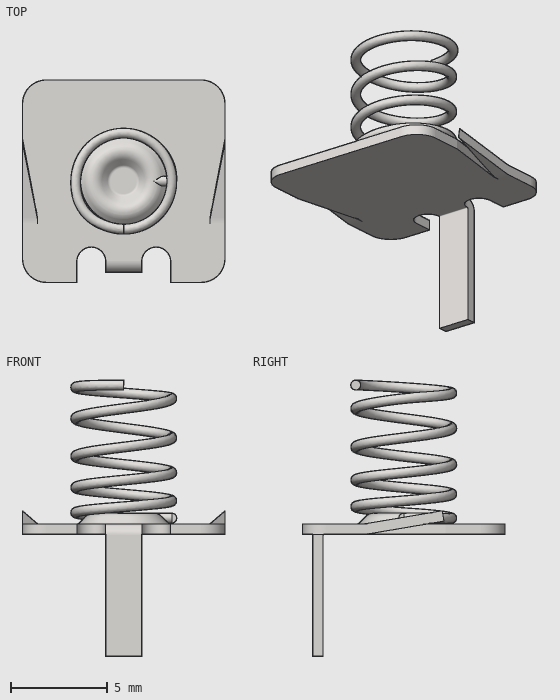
import cadquery as cq
import math

plate_side = 10.53
sheet = 0.55
corner_radius = 1.25
half_side = plate_side / 2

tab_width = 1.88
tab_front = -4.74
tab_bottom = -6.87
bend_inner_radius = 0.05
bend_outer_radius = bend_inner_radius + sheet
notch_width = 1.49
notch_end = -3.43

barb_bend_start = -2.2
barb_bend_radius = 1.58
barb_length = 3.99
barb_width = 0.77
barb_angle = 9.6
barb_slot_end = 2.18

crown_height = 0.56
crown_middle = 1.56
crown_radius = 0.6
recess_floor_radius = 0.67
root_fillet = 0.2

wire_radius = 0.26
coil_radius = 2.5
steps_per_half_turn = 4
half_turn_heights = [0.3, 0.59, 1.2, 1.9, 2.67, 3.52, 4.48, 5.48, 6.51, 7.09]
coil_end_height = 7.22
wire_foot_inner_end = 1.58


def base_plate():
    plate = cq.Workplane("XY").box(plate_side, plate_side, sheet, centered=(True, True, False))
    plate = plate.translate((0, 0, -sheet)).edges("|Z").fillet(corner_radius)
    notch_radius = notch_width / 2
    notch_straight_end = notch_end - notch_radius
    for side in (-1, 1):
        inner = side * tab_width / 2
        outer = inner + side * notch_width
        notch = (
            cq.Workplane("XY")
            .moveTo(inner, -plate_side)
            .lineTo(inner, notch_straight_end)
            .threePointArc(((inner + outer) / 2, notch_end), (outer, notch_straight_end))
            .lineTo(outer, -plate_side)
            .close()
            .extrude(-sheet)
        )
        plate = plate.cut(notch)
    bend_start = tab_front + bend_outer_radius
    strip = cq.Workplane("XY").box(tab_width, plate_side, sheet, centered=(True, False, False))
    return plate.cut(strip.translate((0, bend_start - plate_side, -sheet)))


def solder_tab():
    bend_start = tab_front + bend_outer_radius
    diagonal = math.sqrt(0.5)
    outer_middle = (bend_start - bend_outer_radius * diagonal, bend_outer_radius * (diagonal - 1))
    inner_middle = (
        bend_start - bend_inner_radius * diagonal,
        bend_inner_radius * diagonal - bend_outer_radius,
    )
    return (
        cq.Workplane("YZ")
        .moveTo(bend_start, 0)
        .threePointArc(outer_middle, (tab_front, -bend_outer_radius))
        .lineTo(tab_front, tab_bottom)
        .lineTo(tab_front + sheet, tab_bottom)
        .lineTo(tab_front + sheet, -bend_outer_radius)
        .threePointArc(inner_middle, (bend_start, -sheet))
        .close()
        .extrude(tab_width / 2, both=True)
    )


def barb_slot(side):
    edge = side * half_side
    inner = edge - side * barb_width
    bend_reach = (barb_bend_radius + sheet) * math.sin(math.radians(barb_angle))
    return (
        cq.Workplane("XY")
        .polyline([
            (edge, barb_bend_start),
            (inner, barb_bend_start),
            (inner, barb_bend_start + bend_reach),
            (edge, barb_slot_end),
        ])
        .close()
        .extrude(-sheet)
    )


def bent_barb(side):
    edge = side * half_side
    inner = edge - side * barb_width
    blade = (
        cq.Workplane("XY")
        .polyline([
            (edge, barb_bend_start),
            (inner, barb_bend_start),
            (edge, barb_bend_start + barb_length),
        ])
        .close()
        .extrude(-sheet)
    )
    axis_start = (0, barb_bend_start, barb_bend_radius)
    axis_end = (1, barb_bend_start, barb_bend_radius)
    blade = blade.rotate(axis_start, axis_end, barb_angle)
    bend = (
        cq.Workplane("YZ", origin=(min(edge, inner), 0, 0))
        .moveTo(barb_bend_start, -sheet)
        .lineTo(barb_bend_start, 0)
        .threePointArc(bend_point(barb_bend_radius, 0.5), bend_point(barb_bend_radius, 1))
        .lineTo(*bend_point(barb_bend_radius + sheet, 1))
        .threePointArc(bend_point(barb_bend_radius + sheet, 0.5), (barb_bend_start, -sheet))
        .close()
        .extrude(barb_width)
    )
    return bend.union(blade)


def bend_point(radius, part):
    angle = math.radians(barb_angle * part)
    return (barb_bend_start + radius * math.sin(angle), barb_bend_radius - radius * math.cos(angle))


def ring_boss():
    diagonal = math.sqrt(0.5)
    arc_reach = crown_radius * diagonal
    shoulder_height = crown_height - crown_radius * (1 - diagonal)
    shoulder_inner = crown_middle - arc_reach
    shoulder_outer = crown_middle + arc_reach
    fillet_reach = root_fillet * diagonal
    fillet_rise = root_fillet * (1 - diagonal)
    fillet_outer = recess_floor_radius + fillet_reach
    floor_height = shoulder_height - (shoulder_inner - fillet_outer) - fillet_rise
    fillet_middle = (
        recess_floor_radius + root_fillet * math.sin(math.pi / 8),
        floor_height + root_fillet * (1 - math.cos(math.pi / 8)),
    )
    foot_edge = shoulder_outer + shoulder_height - fillet_rise + fillet_reach
    foot_middle = (
        foot_edge - root_fillet * math.sin(math.pi / 8),
        root_fillet * (1 - math.cos(math.pi / 8)),
    )
    return (
        cq.Workplane("XZ")
        .moveTo(0, -sheet / 2)
        .lineTo(0, floor_height)
        .lineTo(recess_floor_radius, floor_height)
        .threePointArc(fillet_middle, (fillet_outer, floor_height + fillet_rise))
        .lineTo(shoulder_inner, shoulder_height)
        .threePointArc((crown_middle, crown_height), (shoulder_outer, shoulder_height))
        .lineTo(foot_edge - fillet_reach, fillet_rise)
        .threePointArc(foot_middle, (foot_edge, 0))
        .lineTo(foot_edge, -sheet / 2)
        .close()
        .revolve(360, (0, 0, 0), (0, 1, 0))
    )


def coil_point(half_turns, height):
    angle = math.pi * half_turns
    return cq.Vector(coil_radius * math.cos(angle), coil_radius * math.sin(angle), height)


def coil_spring():
    points = []
    last = len(half_turn_heights) - 1
    for index in range(last):
        low = half_turn_heights[index]
        high = half_turn_heights[index + 1]
        for step in range(steps_per_half_turn):
            part = step / steps_per_half_turn
            rise = part
            if index == 0:
                rise = max(0, 2 * part - 1)
            points.append(coil_point(index + part, low + rise * (high - low)))
    points.append(coil_point(last, half_turn_heights[last]))
    points.append(coil_point(last + 0.5, coil_end_height))
    path = cq.Workplane("XY").add(cq.Edge.makeSpline(points)).toPending()
    start = cq.Plane(origin=points[0].toTuple(), xDir=(1, 0, 0), normal=(0, 1, 0))
    coil = cq.Workplane(start).circle(wire_radius).sweep(path, isFrenet=True)
    foot = (
        cq.Workplane("YZ", origin=(wire_foot_inner_end, 0, half_turn_heights[0]))
        .circle(wire_radius)
        .extrude(coil_radius - wire_foot_inner_end)
    )
    return coil.union(foot)


result = base_plate().union(solder_tab())
for side in (-1, 1):
    result = result.cut(barb_slot(side)).union(bent_barb(side))
result = result.union(ring_boss()).union(coil_spring())